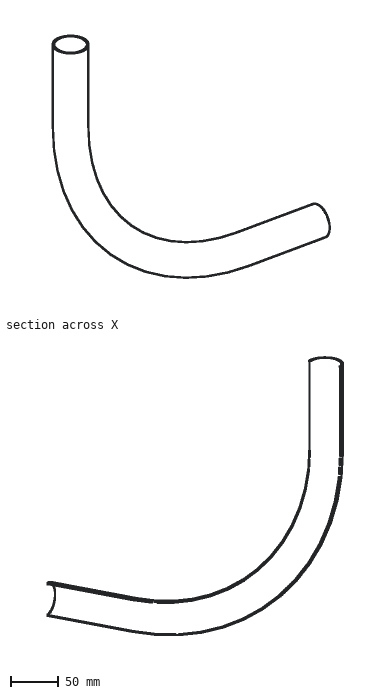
import cadquery as cq

overall_size = 349.2
outer_diameter = 38.0
inner_diameter = 35.0
straight_length = 101.3

outer_radius = outer_diameter / 2
bend_radius = overall_size - outer_radius - straight_length
half_size = overall_size / 2
axis_low = outer_radius - half_size


def straight_end(face_plane):
    """Straight tube extruded along the normal of its end plane."""
    return (
        cq.Workplane(face_plane)
        .circle(outer_radius)
        .circle(inner_diameter / 2)
        .extrude(straight_length)
    )


bend_limit = axis_low + bend_radius
vertical_plane = cq.Plane(origin=(0, axis_low, bend_limit), xDir=(1, 0, 0), normal=(0, 0, 1))
horizontal_plane = cq.Plane(origin=(0, bend_limit, axis_low), xDir=(1, 0, 0), normal=(0, 1, 0))

bend = (
    cq.Workplane(vertical_plane)
    .circle(outer_radius)
    .circle(inner_diameter / 2)
    .revolve(90, (0, bend_radius), (1, bend_radius))
)

result = bend.union(straight_end(vertical_plane)).union(straight_end(horizontal_plane))